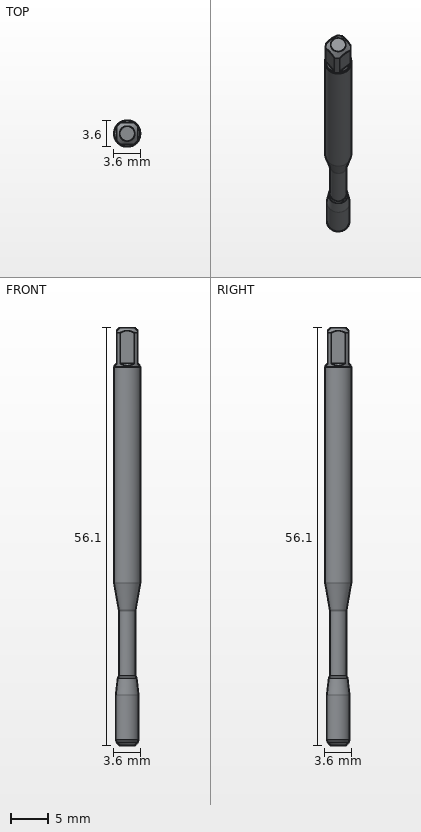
import cadquery as cq

total_length = 56.1
tip_bevel_top = 0.45
head_bevel_top = 0.8
head_taper_bottom = 6.85
head_taper_top = 9.05
joint_height = 9.35
neck_top = 18.05
shank_taper_bottom = 18.25
shank_taper_top = 21.9
shank_top = 50.75

shank_diameter = 3.6
drive_diameter = 3.4
head_diameter = 3.1
head_taper_diameter = 2.6
neck_diameter = 2.25
shank_taper_diameter = 2.3
tip_bevel_diameter = 2.85
tip_diameter = 2.0
drive_tip_diameter = 2.0

drive_width = 2.85
flat_bottom = 51.3

drive_bevel = (drive_diameter - drive_tip_diameter) / 2
shank_bevel = (shank_diameter - drive_diameter) / 2


def turned_body(stations):
    """Revolve a solid about Z from (diameter, height) pairs, bottom to top."""
    outer = [(diameter / 2, height) for diameter, height in stations]
    axis_start = (0, stations[0][1])
    axis_end = (0, stations[-1][1])
    profile = cq.Workplane("XZ").polyline([axis_start] + outer + [axis_end]).close()
    return profile.revolve(360, (0, 0), (0, 1))


def flat_cutter(angle):
    """Material removed for one drive flat, with a sloping lower end."""
    inner = drive_width / 2
    outer = shank_diameter
    outer_bottom = flat_bottom - (outer - inner)
    section = [
        (inner, flat_bottom),
        (outer, outer_bottom),
        (outer, total_length),
        (inner, total_length),
    ]
    cutter = cq.Workplane("XZ").polyline(section).close().extrude(shank_diameter, both=True)
    return cutter.rotate((0, 0, 0), (0, 0, 1), angle)


def make_head():
    return turned_body([
        (tip_diameter, 0),
        (tip_bevel_diameter, tip_bevel_top),
        (head_diameter, head_bevel_top),
        (head_diameter, head_taper_bottom),
        (head_taper_diameter, head_taper_top),
        (neck_diameter, joint_height),
    ])


def make_shank():
    """Neck, tapered transition, round shank and square drive in one body."""
    shank = turned_body([
        (neck_diameter, joint_height),
        (neck_diameter, neck_top),
        (shank_taper_diameter, shank_taper_bottom),
        (shank_diameter, shank_taper_top),
        (shank_diameter, shank_top),
        (drive_diameter, shank_top + shank_bevel),
        (drive_diameter, total_length - drive_bevel),
        (drive_tip_diameter, total_length),
    ])
    for side in range(4):
        shank = shank.cut(flat_cutter(side * 90))
    return shank


head = make_head()
shank = make_shank()

result = cq.Compound.makeCompound([head.val(), shank.val()])